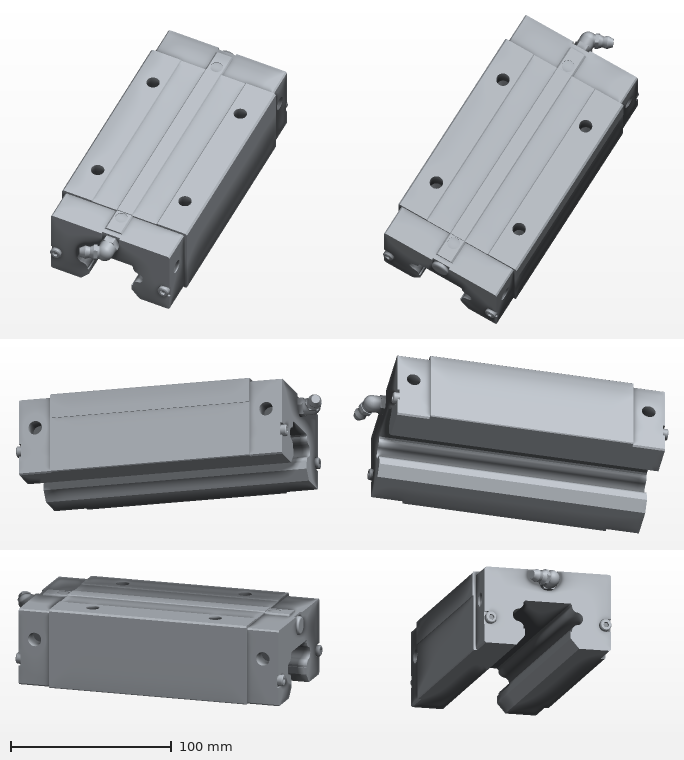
import cadquery as cq
import math

overall_length = 189.1
block_width = 86.0
block_height = 50.5
block_length = 129.0

block_half = block_width / 2
top_chamfer = 1.1
bottom_chamfer = 0.5
side_relief = 0.5
side_relief_top = 34.8
top_step = 0.5
pad_edge = 22.0
strip_half = 5.0

roof_height = 28.5
roof_half = 14.8
roof_corner = 1.0
land_half = roof_half + roof_corner
bulge_top = 26.3
groove_height = 19.1
groove_half = 22.7
groove_edge_half = 19.3
groove_edge_rise = 4.0
bulge_mid_half = 16.8
bulge_mid_rise = 5.1
lip_half = 14.8
lip_top = 10.5
lip_bottom = 6.2
mouth_half = 20.2

hole_span_x = 60.1
hole_span_y = 80.2
hole_diameter = 8.3
hole_depth = 12.3
drill_point_angle = 118

cap_half = 40.9
cap_top = 48.8
cap_chamfer = 1.0
end_plate_y = 85.1
end_plate_thickness = 4.5
rib_rise = 1.1
side_port_diameter = 8.7
side_port_depth = 11.3
side_port_y = 74.7
side_port_z = 29.9
top_port_diameter = 8.0
top_port_depth = 0.4
top_port_y = 69.0

screw_x = 37.0
screw_z = 16.0
screw_radius = 3.5
screw_chamfer = 0.5
screw_end_y = 87.4
socket_across_flats = 3.2
socket_depth = 1.9
screw_pocket_radius = 4.0
pocket_depth = 1.3

port_z = 41.8
port_radius = 6.0
plug_radius = 5.9
plug_height = 2.8
plug_round = 1.3
elbow_radius = 5.3
elbow_hex_length = 4.3
elbow_y = -93.0
nipple_angle = 23.5
nipple_tip_radius = 2.6
nipple_head_radius = 4.2
nipple_neck_radius = 3.4
nipple_collar_radius = 4.5
nipple_stem_radius = 4.2
nipple_hex_start = 4.5
nipple_hex_end = 6.8
nipple_neck_reach = 9.3
nipple_head_reach = 12.1

hex_corner_ratio = 2 / math.sqrt(3)
floor_y = end_plate_y - pocket_depth


def prism(sketch, half_length):
    """Extrude an XZ outline both ways along Y."""
    return sketch.extrude(half_length, both=True)


def along_y(x, z, y_start, direction):
    """Workplane at (x, y_start, z) facing +Y or -Y, with its local x along global X."""
    return cq.Workplane(cq.Plane(origin=(x, y_start, z), xDir=(1, 0, 0), normal=(0, direction, 0)))


def make_block():
    channel_floor = block_height - top_step
    relief_x = block_half - side_relief
    outline = (
        cq.Workplane("XZ")
        .moveTo(-relief_x + bottom_chamfer, 0)
        .lineTo(block_half - bottom_chamfer, 0)
        .lineTo(block_half, bottom_chamfer)
        .lineTo(block_half, block_height - top_chamfer)
        .lineTo(block_half - top_chamfer, block_height)
        .lineTo(pad_edge + top_step, block_height)
        .lineTo(pad_edge, channel_floor)
        .lineTo(strip_half + top_step, channel_floor)
        .lineTo(strip_half, block_height)
        .lineTo(-strip_half, block_height)
        .lineTo(-strip_half - top_step, channel_floor)
        .lineTo(-pad_edge, channel_floor)
        .lineTo(-pad_edge - top_step, block_height)
        .lineTo(-block_half + top_chamfer, block_height)
        .lineTo(-block_half, block_height - top_chamfer)
        .lineTo(-block_half, side_relief_top)
        .lineTo(-relief_x, side_relief_top)
        .lineTo(-relief_x, bottom_chamfer)
        .close()
    )
    return prism(outline, block_length / 2)


def make_caps():
    """Both end caps and plates as one long bar, which runs on through the block."""
    body = (
        cq.Workplane("XY")
        .box(2 * cap_half, 2 * end_plate_y, cap_top, centered=(True, True, False))
        .edges("|Y")
        .chamfer(cap_chamfer)
    )
    rib = (
        cq.Workplane("XZ")
        .moveTo(-strip_half - rib_rise, cap_top)
        .lineTo(strip_half + rib_rise, cap_top)
        .lineTo(strip_half, cap_top + rib_rise)
        .lineTo(-strip_half, cap_top + rib_rise)
        .close()
    )
    return body.union(prism(rib, end_plate_y - end_plate_thickness))


def make_rail_opening():
    upper_edge = groove_height + groove_edge_rise
    lower_edge = groove_height - groove_edge_rise
    bulge_bottom = 2 * groove_height - bulge_top
    half = (
        cq.Workplane("XZ")
        .moveTo(0, roof_height)
        .lineTo(roof_half, roof_height)
        .lineTo(land_half, roof_height - roof_corner)
        .lineTo(land_half, bulge_top)
        .threePointArc((bulge_mid_half, groove_height + bulge_mid_rise), (groove_edge_half, upper_edge))
        .threePointArc((groove_half, groove_height), (groove_edge_half, lower_edge))
        .threePointArc((bulge_mid_half, groove_height - bulge_mid_rise), (land_half, bulge_bottom))
        .lineTo(land_half, lip_top)
        .lineTo(lip_half, lip_top)
        .lineTo(lip_half, lip_bottom)
        .lineTo(mouth_half, 0)
        .lineTo(0, 0)
        .close()
    )
    half = prism(half, end_plate_y)
    return half.union(half.mirror("YZ"))


def make_mounting_holes():
    radius = hole_diameter / 2
    point_depth = radius / math.tan(math.radians(drill_point_angle / 2))
    drill = (
        cq.Workplane("XZ")
        .moveTo(0, block_height)
        .lineTo(radius, block_height)
        .lineTo(radius, block_height - hole_depth)
        .lineTo(0, block_height - hole_depth - point_depth)
        .close()
        .revolve(360, (0, 0), (0, 1))
    )
    places = cq.Workplane("XY").rarray(hole_span_x, hole_span_y, 2, 2)
    return places.eachpoint(lambda place: drill.val().moved(place), combine=True)


def make_cap_ports(end):
    """Side ports and shallow top seat of the cap at one end (-1 or +1)."""
    top_seat = (
        cq.Workplane("XY", origin=(0, end * top_port_y, cap_top + rib_rise))
        .circle(top_port_diameter / 2)
        .extrude(-top_port_depth)
    )
    side_ports = cq.Workplane("YZ", origin=(cap_half, end * side_port_y, side_port_z))
    side_ports = side_ports.circle(side_port_diameter / 2).extrude(-side_port_depth)
    return top_seat.union(side_ports).union(side_ports.mirror("YZ"))


def make_pocket(x, z, radius, end, open_x, open_z):
    """Round-bottomed pocket in an end plate, running straight out of the plate along (open_x, open_z)."""
    reach = block_width / 2
    seat = along_y(x, z, end * floor_y, end).circle(radius).extrude(pocket_depth)
    run_x = abs(open_x) * reach + (1 - abs(open_x)) * 2 * radius
    run_z = abs(open_z) * reach + (1 - abs(open_z)) * 2 * radius
    run = cq.Workplane("XY").box(run_x, pocket_depth, run_z)
    run_y = end * (floor_y + pocket_depth / 2)
    return seat.union(run.translate((x + open_x * reach / 2, run_y, z + open_z * reach / 2)))


def make_screw(x, end):
    length = screw_end_y - floor_y
    socket_corners = socket_across_flats * hex_corner_ratio
    head = along_y(x, screw_z, end * floor_y, end).circle(screw_radius).extrude(length)
    head = head.faces(">Y" if end > 0 else "<Y").edges().chamfer(screw_chamfer)
    socket = along_y(x, screw_z, end * screw_end_y, end).polygon(6, socket_corners).extrude(-socket_depth)
    return head.cut(socket)


def make_plug():
    plug = along_y(0, port_z, floor_y, 1).circle(plug_radius).extrude(plug_height)
    return plug.faces(">Y").edges().fillet(plug_round)


def make_grease_nipple():
    base = along_y(0, port_z, -floor_y, -1)
    hex_nut = base.polygon(6, 2 * elbow_radius * hex_corner_ratio).extrude(elbow_hex_length)
    barrel = base.circle(elbow_radius).extrude(-floor_y - elbow_y)
    ball = cq.Workplane("XY").sphere(elbow_radius).translate((0, elbow_y, port_z))

    tilt = math.radians(nipple_angle)
    drop = elbow_y - (screw_end_y - overall_length)
    tip = (drop - nipple_tip_radius * math.cos(tilt)) / math.sin(tilt)
    axis = (-math.cos(tilt), -math.sin(tilt), 0)
    centre = cq.Vector(0, elbow_y, port_z)

    side_plane = cq.Plane(origin=centre.toTuple(), xDir=axis, normal=(0, 0, 1))
    nipple = (
        cq.Workplane(side_plane)
        .lineTo(0, nipple_stem_radius)
        .lineTo(nipple_hex_end, nipple_stem_radius)
        .lineTo(nipple_hex_end, nipple_collar_radius)
        .lineTo(nipple_neck_reach, nipple_neck_radius)
        .lineTo(nipple_head_reach, nipple_head_radius)
        .lineTo(tip, nipple_tip_radius)
        .lineTo(tip, 0)
        .close()
        .revolve(360, (0, 0), (1, 0))
    )
    collar_start = centre + cq.Vector(*axis) * nipple_hex_start
    level = (math.sin(tilt), -math.cos(tilt), 0)
    collar = cq.Workplane(cq.Plane(origin=collar_start.toTuple(), xDir=level, normal=axis))
    collar = collar.polygon(6, 2 * nipple_collar_radius * hex_corner_ratio)
    collar = collar.extrude(nipple_hex_end - nipple_hex_start)
    return hex_nut.union(barrel).union(ball).union(nipple).union(collar)


result = make_block().union(make_caps()).cut(make_rail_opening()).cut(make_mounting_holes())

for end in (-1, 1):
    result = result.cut(make_cap_ports(end))
    result = result.cut(make_pocket(0, port_z, port_radius, end, 0, 1))
    for side in (-1, 1):
        result = result.cut(make_pocket(side * screw_x, screw_z, screw_pocket_radius, end, side, 0))
        result = result.union(make_screw(side * screw_x, end))

result = result.union(make_plug()).union(make_grease_nipple())